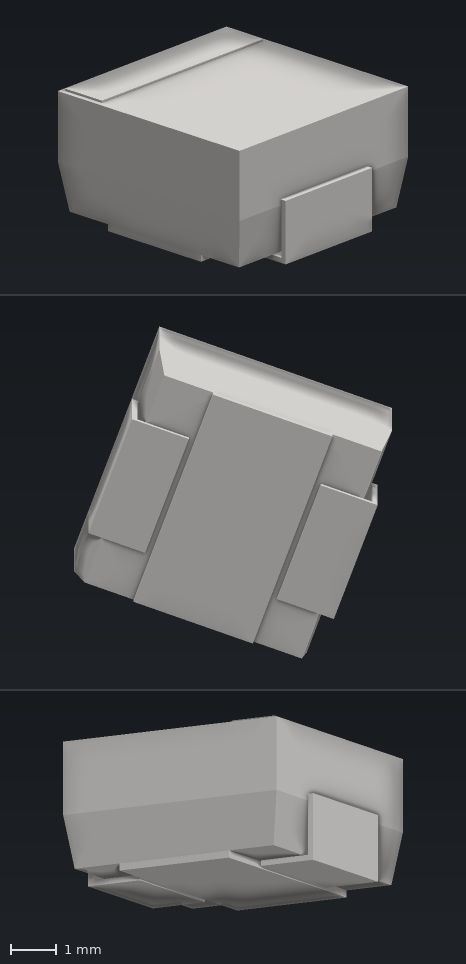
import cadquery as cq

OVERALL_LENGTH = 5.74
OVERALL_HEIGHT = 3.05

HOUSING_SIDE = 5.44
TAPER_INSET = 0.185
TAPER_TOP_Z = 1.35
TAPER_BOTTOM_Z = 0.16
STANDOFF_LENGTH = 2.79

MARK_THICKNESS = 0.05
MARK_LENGTH = 1.085
MARK_MARGIN = 0.12

LEAD_WIDTH = 2.79
LEAD_THICKNESS = 0.125
LEAD_HEIGHT = 1.49
FOOT_LENGTH = 1.325

HOUSING_TOP_Z = OVERALL_HEIGHT - MARK_THICKNESS
HOUSING_BASE_SIDE = HOUSING_SIDE - 2 * TAPER_INSET
MARK_WIDTH = HOUSING_SIDE - 2 * MARK_MARGIN


def make_housing():
    """Straight upper block, tapered lower block and the standoff under it."""
    upper = (
        cq.Workplane("XY", origin=(0, 0, TAPER_TOP_Z))
        .rect(HOUSING_SIDE, HOUSING_SIDE)
        .extrude(HOUSING_TOP_Z - TAPER_TOP_Z)
    )
    lower = (
        cq.Workplane("XY", origin=(0, 0, TAPER_BOTTOM_Z))
        .rect(HOUSING_BASE_SIDE, HOUSING_BASE_SIDE)
        .workplane(offset=TAPER_TOP_Z - TAPER_BOTTOM_Z)
        .rect(HOUSING_SIDE, HOUSING_SIDE)
        .loft(ruled=True)
    )
    standoff = cq.Workplane("XY").rect(STANDOFF_LENGTH, HOUSING_BASE_SIDE).extrude(TAPER_BOTTOM_Z)
    return upper.union(lower).union(standoff)


def make_polarity_mark():
    """Thin strip along the -X edge of the top face."""
    center_x = -HOUSING_SIDE / 2 + MARK_MARGIN + MARK_LENGTH / 2
    return (
        cq.Workplane("XY", origin=(center_x, 0, HOUSING_TOP_Z))
        .rect(MARK_LENGTH, MARK_WIDTH)
        .extrude(MARK_THICKNESS)
    )


def make_lead(side):
    """Bent strip with a foot and a short top lip against the housing; side is -1 or +1 along X."""
    outer_x = side * OVERALL_LENGTH / 2
    inner_x = outer_x - side * LEAD_THICKNESS
    foot_end_x = outer_x - side * FOOT_LENGTH
    housing_x = side * HOUSING_SIDE / 2
    lip_bottom_z = LEAD_HEIGHT - LEAD_THICKNESS
    outline = [
        (foot_end_x, 0),
        (outer_x, 0),
        (outer_x, LEAD_HEIGHT),
        (housing_x, LEAD_HEIGHT),
        (housing_x, lip_bottom_z),
        (inner_x, lip_bottom_z),
        (inner_x, LEAD_THICKNESS),
        (foot_end_x, LEAD_THICKNESS),
    ]
    return cq.Workplane("XZ").polyline(outline).close().extrude(LEAD_WIDTH / 2, both=True)


housing = make_housing()
polarity_mark = make_polarity_mark()
leads = [make_lead(side) for side in (-1, 1)]

result = cq.Compound.makeCompound(
    [housing.val(), polarity_mark.val(), *[lead.val() for lead in leads]]
)